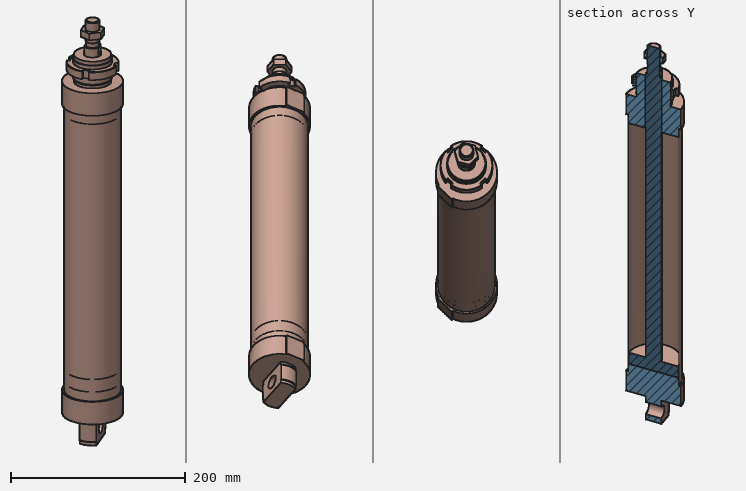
import cadquery as cq

total_height = 524.0
tube_diameter = 65.5
bore_diameter = 63.0
cap_diameter = 70.0
cap_length = 28.5
port_pad_width = 23.0
rear_cap_bottom = 32.5
front_cap_top = 447.5
bore_bottom = 72.0
bore_top = 407.5

thread_diameter = 45.0
thread_neck_diameter = 43.5
thread_neck_length = 3.5
thread_bevel_height = 1.5
thread_pilot_diameter = 43.0
thread_pilot_length = 4.5
nose_top = 481.0

tang_thickness = 20.0
tang_hole_diameter = 16.0
tang_hole_height = 16.0

mounting_nut_diameter = 60.0
mounting_nut_thickness = 10.0
mounting_nut_bottom = 462.0
mounting_nut_chamfer = 0.5
nut_slot_count = 4
nut_slot_width = 8.0
nut_slot_floor_radius = 26.0

piston_length = 15.5
rod_diameter = 20.0
rod_shoulder_height = 492.0
rod_flat_width = 17.0
rod_flat_bottom = 484.0
rod_neck_diameter = 15.0
rod_thread_diameter = 16.0
rod_thread_bottom = 498.0
rod_tip_chamfer = 1.0

rod_nut_width = 24.0
rod_nut_thickness = 8.5
rod_nut_bottom = 504.5


def cylinder(diameter, bottom, top):
    """Vertical cylinder on the Z axis between two heights."""
    return cq.Workplane("XY").workplane(offset=bottom).circle(diameter / 2).extrude(top - bottom)


def threaded_stub(base, length):
    """Upright stub: neck at the base, bevel up to the thread, and a narrower pilot at the free end."""
    thread_radius = thread_diameter / 2
    neck_radius = thread_neck_diameter / 2
    pilot_radius = thread_pilot_diameter / 2
    bevel_top = thread_neck_length + thread_bevel_height
    thread_top = length - thread_pilot_length
    return (
        cq.Workplane("XZ")
        .lineTo(neck_radius, 0)
        .lineTo(neck_radius, thread_neck_length)
        .lineTo(thread_radius, bevel_top)
        .lineTo(thread_radius, thread_top)
        .lineTo(pilot_radius, thread_top)
        .lineTo(pilot_radius, length)
        .lineTo(0, length)
        .close()
        .revolve(360, (0, 0), (0, 1))
        .translate((0, 0, base))
    )


def end_cap(bottom):
    """Round cap with a flat port pad on its +Y side."""
    cap_radius = cap_diameter / 2
    pad = (
        cq.Workplane("XY")
        .workplane(offset=bottom)
        .center(0, cap_radius / 2)
        .rect(port_pad_width, cap_radius)
        .extrude(cap_length)
    )
    return cylinder(cap_diameter, bottom, bottom + cap_length).union(pad)


def rear_tang():
    """Threaded stub pointing down, cut to a flat tang with a cross hole along X."""
    stub = threaded_stub(0, rear_cap_bottom).rotate((0, 0, 0), (1, 0, 0), 180)
    stub = stub.translate((0, 0, rear_cap_bottom))
    slab = cq.Workplane("XY").box(
        tang_thickness, thread_diameter, rear_cap_bottom, centered=(True, True, False)
    )
    hole = (
        cq.Workplane("YZ")
        .center(0, tang_hole_height)
        .circle(tang_hole_diameter / 2)
        .extrude(tang_thickness, both=True)
    )
    return stub.intersect(slab).cut(hole)


def make_housing():
    """Tube, caps, nose and tang as one solid, with a piston bore and a rod passage inside."""
    tube = cylinder(tube_diameter, rear_cap_bottom, front_cap_top)
    nose = threaded_stub(front_cap_top, nose_top - front_cap_top)
    housing = tube.union(end_cap(rear_cap_bottom)).union(end_cap(front_cap_top - cap_length))
    housing = housing.union(nose).union(rear_tang())
    bore = cylinder(bore_diameter, bore_bottom, bore_top)
    rod_passage = cylinder(rod_diameter, bore_top, nose_top)
    return housing.cut(bore).cut(rod_passage)


def make_mounting_nut():
    """Round nut with a chamfered top rim and wrench slots spaced evenly around it."""
    nut_top = mounting_nut_bottom + mounting_nut_thickness
    nut = cylinder(mounting_nut_diameter, mounting_nut_bottom, nut_top)
    nut = nut.faces(">Z").chamfer(mounting_nut_chamfer)
    slot = (
        cq.Workplane("XY")
        .workplane(offset=mounting_nut_bottom)
        .center(nut_slot_floor_radius + mounting_nut_diameter / 2, 0)
        .rect(mounting_nut_diameter, nut_slot_width)
        .extrude(mounting_nut_thickness)
    )
    for i in range(nut_slot_count):
        nut = nut.cut(slot.rotate((0, 0, 0), (0, 0, 1), i * 360 / nut_slot_count))
    return nut.cut(cylinder(thread_diameter, mounting_nut_bottom, nut_top))


def make_rod():
    """Piston at the bore floor, rod with two wrench flats, neck and threaded tip."""
    piston = cylinder(bore_diameter, bore_bottom, bore_bottom + piston_length)
    round_shank = cylinder(rod_diameter, bore_bottom, rod_flat_bottom)
    flat_slab = (
        cq.Workplane("XY")
        .workplane(offset=rod_flat_bottom)
        .rect(rod_flat_width, rod_diameter)
        .extrude(rod_shoulder_height - rod_flat_bottom)
    )
    flat_shank = cylinder(rod_diameter, rod_flat_bottom, rod_shoulder_height).intersect(flat_slab)
    neck = cylinder(rod_neck_diameter, rod_shoulder_height, rod_thread_bottom)
    tip = cylinder(rod_thread_diameter, rod_thread_bottom, total_height)
    tip = tip.faces(">Z").chamfer(rod_tip_chamfer)
    return piston.union(round_shank).union(flat_shank).union(neck).union(tip)


def make_rod_nut():
    """Hexagon nut with corners on the Y axis."""
    nut_top = rod_nut_bottom + rod_nut_thickness
    nut = (
        cq.Workplane("XY")
        .workplane(offset=rod_nut_bottom)
        .polygon(6, rod_nut_width, circumscribed=True)
        .extrude(rod_nut_thickness)
    )
    return nut.cut(cylinder(rod_thread_diameter, rod_nut_bottom, nut_top))


housing = make_housing()
mounting_nut = make_mounting_nut()
rod = make_rod()
rod_nut = make_rod_nut()

result = cq.Compound.makeCompound([housing.val(), mounting_nut.val(), rod.val(), rod_nut.val()])